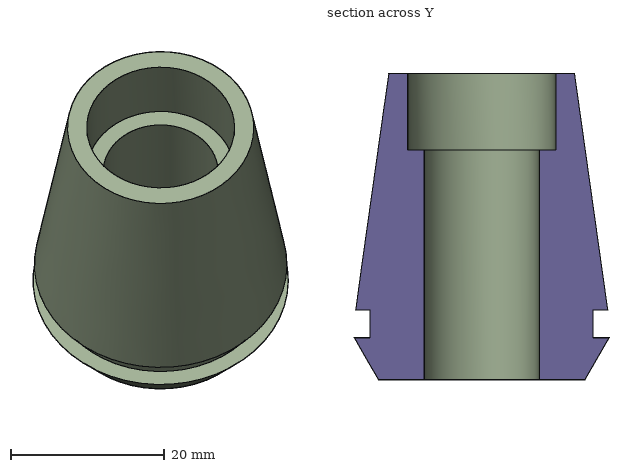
import cadquery as cq
import math

height = 40.0
max_diameter = 33.35

nose_height = 5.5
nose_half_angle = 30.0

groove_height = 3.6
groove_diameter = 29.2

body_half_angle = 8.0
body_top_diameter = 24.3

bore_diameter = 15.0
counterbore_diameter = 19.3
counterbore_depth = 10.0


def cone_run(length, half_angle):
    """Change in radius of a cone over an axial length."""
    return length * math.tan(math.radians(half_angle))


max_radius = max_diameter / 2
groove_radius = groove_diameter / 2
bore_radius = bore_diameter / 2
counterbore_radius = counterbore_diameter / 2
nose_radius = max_radius - cone_run(nose_height, nose_half_angle)
body_bottom = nose_height + groove_height
body_top_radius = body_top_diameter / 2
body_bottom_radius = body_top_radius + cone_run(height - body_bottom, body_half_angle)
counterbore_floor = height - counterbore_depth


def make_collet():
    """Revolve the half section (radius, Z) about the Z axis."""
    half_section = [
        (bore_radius, 0),
        (nose_radius, 0),
        (max_radius, nose_height),
        (groove_radius, nose_height),
        (groove_radius, body_bottom),
        (body_bottom_radius, body_bottom),
        (body_top_radius, height),
        (counterbore_radius, height),
        (counterbore_radius, counterbore_floor),
        (bore_radius, counterbore_floor),
    ]
    profile = cq.Workplane("XZ").polyline(half_section).close()
    return profile.revolve(360, (0, 0, 0), (0, 1, 0))


result = make_collet()